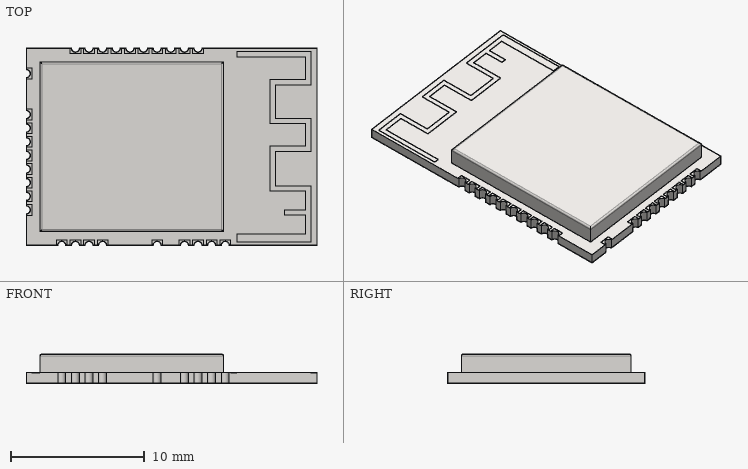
import cadquery as cq

board_length = 21.72
board_width = 14.73
board_thickness = 0.8
total_height = 2.2

can_margin = 1.02
can_length = 13.7
can_width = board_width - 2 * can_margin
can_height = total_height - board_thickness
can_edge_radius = 0.15

pad_row_length = 12.2
pad_row_steps = 12
pad_pitch = pad_row_length / pad_row_steps
first_pad_offset = 2.65
pad_width = 0.8
pad_depth = 0.41
notch_diameter = 0.59
front_pad_slots = [0, 1, 2, 3, 7, 9, 10, 11, 12]
back_pad_slots = range(1, 11)
left_pad_slots = [0, 1, 2, 3, 4, 5, 6, 7, 10]

copper_thickness = 0.02

trace_width = 0.4
antenna_right = 21.25
antenna_start = 15.73
meander_left = 18.2
stub_left = 19.29
antenna_top = 14.47
upper_bar_top = 12.38
middle_bar_top = 9.5
lower_bar_top = 7.4
bottom_bar_top = 4.45
stub_top = 2.65
feed_top = 0.87
antenna_bottom = 0.24


def copper_rectangle(left, right, bottom, top):
    """Thin copper patch lying on the board."""
    return (
        cq.Workplane("XY", origin=(left, bottom, board_thickness))
        .rect(right - left, top - bottom, centered=False)
        .extrude(copper_thickness)
    )


def horizontal_trace(left, top):
    """Antenna trace running from the given left end to the right side of the antenna."""
    return copper_rectangle(left, antenna_right, top - trace_width, top)


def vertical_trace(left, bottom, top):
    """Antenna trace running up the board."""
    return copper_rectangle(left, left + trace_width, bottom, top)


def make_board():
    return cq.Workplane("XY").box(board_length, board_width, board_thickness, centered=False)


def make_can():
    return (
        cq.Workplane("XY", origin=(can_margin, can_margin, board_thickness))
        .rect(can_length, can_width, centered=False)
        .extrude(can_height)
        .edges(">Z")
        .fillet(can_edge_radius)
    )


def make_antenna():
    right_leg_left = antenna_right - trace_width
    antenna = copper_rectangle(antenna_start, antenna_right, antenna_bottom, feed_top)
    antenna = antenna.union(horizontal_trace(antenna_start, antenna_top))
    antenna = antenna.union(horizontal_trace(stub_left, stub_top))
    for bar_top in (upper_bar_top, middle_bar_top, lower_bar_top, bottom_bar_top):
        antenna = antenna.union(horizontal_trace(meander_left, bar_top))
    antenna = antenna.union(vertical_trace(right_leg_left, upper_bar_top - trace_width, antenna_top))
    antenna = antenna.union(vertical_trace(right_leg_left, lower_bar_top - trace_width, middle_bar_top))
    antenna = antenna.union(vertical_trace(right_leg_left, antenna_bottom, bottom_bar_top))
    antenna = antenna.union(vertical_trace(meander_left, middle_bar_top - trace_width, upper_bar_top))
    antenna = antenna.union(vertical_trace(meander_left, bottom_bar_top - trace_width, lower_bar_top))
    return antenna


def slot_position(slot):
    return first_pad_offset + slot * pad_pitch


def add_pads(body):
    """Rectangular copper pads against the front, back and left board edges."""
    half_width = pad_width / 2
    back_pad_front = board_width - pad_depth
    for x, _ in front_points:
        body = body.union(copper_rectangle(x - half_width, x + half_width, 0, pad_depth))
    for x, _ in back_points:
        body = body.union(copper_rectangle(x - half_width, x + half_width, back_pad_front, board_width))
    for _, y in left_points:
        body = body.union(copper_rectangle(0, pad_depth, y - half_width, y + half_width))
    return body


def make_notches():
    """Cutters for the half-round notches, centred on the board edges."""
    return (
        cq.Workplane("XY")
        .pushPoints(front_points + back_points + left_points)
        .circle(notch_diameter / 2)
        .extrude(board_thickness + copper_thickness)
    )


front_points = [(slot_position(slot), 0) for slot in front_pad_slots]
back_points = [(slot_position(slot), board_width) for slot in back_pad_slots]
left_points = [(0, slot_position(slot)) for slot in left_pad_slots]

result = make_board().union(make_can()).union(make_antenna())
result = add_pads(result).cut(make_notches())